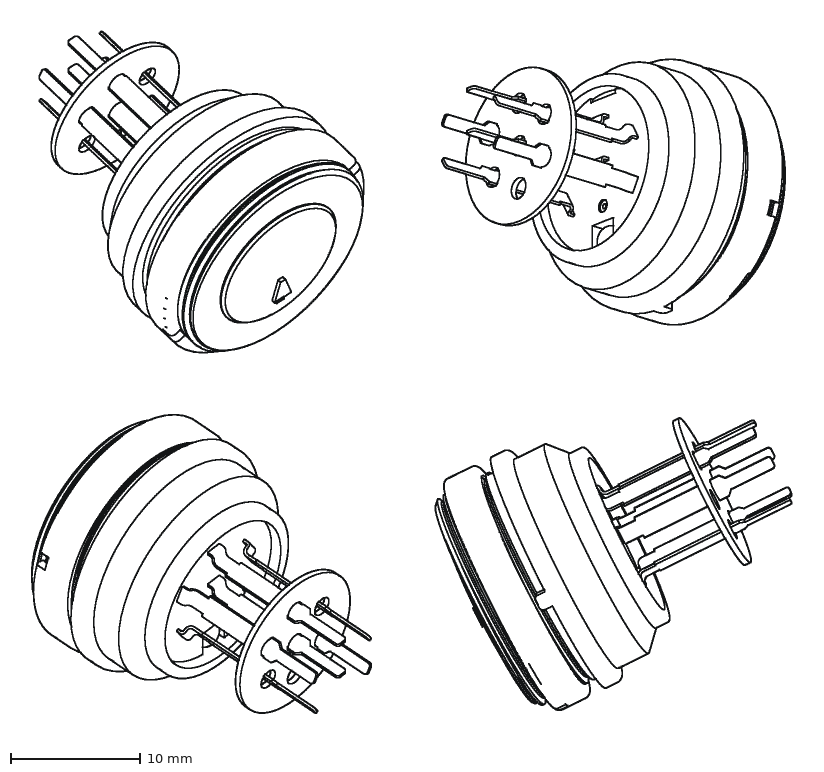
import cadquery as cq


spacer_start = 5.02
collar_start = 12.67
collar_end = 13.88
cone_end = 15.25
flange_start = 17.9
flange_end = 19.43
nut_start = 20.7
nut_end = 23.65
thread_end = 24.95
insert_end = 25.3
overall_length = 25.6

collar_diameter = 15.1
collar_rim_fillet = 0.18
body_diameter = 18.1
thread_diameter = 18.0
flange_diameter = 20.0
flange_fillet = 0.5
cavity_diameter = 13.1
cavity_depth = 1.0
cavity_floor = collar_start + cavity_depth

thread_pitch = 0.75
thread_depth = 0.4
thread_start = 19.87
thread_runout = 0.77
groove_mouth_width = 0.61
groove_root_width = 0.15
groove_overcut = 0.05
thread_end_chamfer = 0.45

block_length = 0.97
block_width = 1.28
block_chamfer = 0.2

insert_diameter = 11.57
insert_chamfer = 0.23
key_bottom = -3.75
key_top = -1.65
key_bottom_width = 1.7
key_top_width = 0.49
slot_width = 2.45
slot_top = -4.17
slot_depth = 5.12
window_width = 0.77
window_height = 0.3
locating_post_diameter = 2.3
locating_post_z = -5.53
locating_post_fillet = 0.77
blind_hole_z = -2.87
blind_hole_diameter = 1.0
blind_hole_depth = 0.15
pilot_hole_diameter = 0.38
pilot_hole_depth = 0.5
rim_notch_width = 2.92
rim_notch_height = 0.5
rim_notch_depth = 0.25

spacer_diameter = 12.5
spacer_thickness = 0.49
pin_hole_diameter = 1.6
empty_hole_diameter = 1.7

pin_circle_radius = 3.5
pin_angles = [30, 90, 150, 210, 330]
empty_angle = 270
pin_thickness = 0.23
tip_width = 1.0
tip_fillet = 0.25
blade_width = 1.8
shoulder_start = 3.87
shoulder_end = 4.22
blade_end = 11.57
neck_width = 1.33
bend_start = 12.62
first_bend_radius = 0.45
second_bend_radius = 0.2
foot_offset = 0.82

nut_fillet = 0.45
nut_notch_angle = 20.2
nut_notch_width = 1.15
nut_notch_length = 1.08


def cylinder(diameter, start, end, z=0.0):
    """Solid cylinder along X between two stations."""
    return cq.Workplane("YZ", origin=(start, 0, z)).circle(diameter / 2).extrude(end - start)


def box(x_range, y_range, z_range):
    """Box given by its limits along each axis."""
    size = [high - low for low, high in (x_range, y_range, z_range)]
    corner = (x_range[0], y_range[0], z_range[0])
    return cq.Workplane("XY").box(*size, centered=False).translate(corner)


def turned_about_axis(shape, angle):
    """Rotate a shape about the connector axis."""
    return shape.rotate((0, 0, 0), (1, 0, 0), angle)


def at_pin_position(shape, angle):
    """Move a shape from the axis to the pin circle; its +Z side then points outward."""
    return turned_about_axis(shape.translate((0, 0, pin_circle_radius)), angle - 90)


def make_thread_groove():
    """Helical V groove, right-handed, running off the +X end of the shell."""
    crest_radius = thread_diameter / 2
    height = thread_end + thread_runout - thread_start
    helix = cq.Wire.makeHelix(thread_pitch, height, crest_radius)
    outer_half = groove_mouth_width / 2
    root_half = groove_root_width / 2
    groove = (
        cq.Workplane("XZ")
        .polyline([
            (crest_radius + groove_overcut, -outer_half),
            (crest_radius + groove_overcut, outer_half),
            (crest_radius - thread_depth, root_half),
            (crest_radius - thread_depth, -root_half),
        ])
        .close()
        .sweep(cq.Workplane(helix), isFrenet=True)
    )
    groove = groove.rotate((0, 0, 0), (0, 1, 0), 90)
    return turned_about_axis(groove, 90).translate((thread_start, 0, 0))


def make_shell():
    """Stepped shell with its cone, flange, thread and rear cavity."""
    collar = cylinder(collar_diameter, collar_start, collar_end).faces("<X").edges().fillet(collar_rim_fillet)
    body = (
        cq.Workplane("XY")
        .moveTo(collar_end, 0)
        .lineTo(collar_end, collar_diameter / 2)
        .lineTo(cone_end, body_diameter / 2)
        .lineTo(flange_end, body_diameter / 2)
        .lineTo(flange_end, thread_diameter / 2)
        .lineTo(thread_end - thread_end_chamfer, thread_diameter / 2)
        .lineTo(thread_end, thread_diameter / 2 - thread_end_chamfer)
        .lineTo(thread_end, 0)
        .close()
        .revolve(360, (0, 0, 0), (1, 0, 0))
        .cut(make_thread_groove())
    )
    flange = cylinder(flange_diameter, flange_start, flange_end).faces("<X").edges().fillet(flange_fillet)
    cavity = cylinder(cavity_diameter, collar_start, cavity_floor)
    return collar.union(body).union(flange).union(make_locating_block()).cut(cavity)


def make_locating_block():
    """Block on the flange underside, trimmed to the flange circle and the thread circle."""
    block_end = flange_end + block_length
    half_width = block_width / 2
    block = box((flange_end, block_end), (-half_width, half_width), (-flange_diameter / 2, 0))
    block = block.faces(">X").edges("|Z").chamfer(block_chamfer)
    ring = cylinder(flange_diameter, flange_end, block_end).cut(
        cylinder(thread_diameter, flange_end, block_end)
    )
    return block.intersect(ring)


def make_insert_front():
    """Raised contact face with its polarising key."""
    face = cylinder(insert_diameter, thread_end, insert_end).faces(">X").edges().chamfer(insert_chamfer)
    key = (
        cq.Workplane("YZ", origin=(insert_end, 0, 0))
        .polyline([
            (-key_bottom_width / 2, key_bottom),
            (key_bottom_width / 2, key_bottom),
            (key_top_width / 2, key_top),
            (-key_top_width / 2, key_top),
        ])
        .close()
        .extrude(overall_length - insert_end)
    )
    return face.union(key)


def add_insert_back(connector):
    """Add the windowed slot, locating post, blind hole and rim notch to the cavity floor."""
    cavity_radius = cavity_diameter / 2
    slot_end = cavity_floor + slot_depth
    slot = box(
        (cavity_floor, slot_end), (-slot_width / 2, slot_width / 2), (-cavity_radius, slot_top)
    ).intersect(cylinder(cavity_diameter, cavity_floor, slot_end))
    window = box(
        (slot_end, insert_end), (-window_width / 2, window_width / 2), (slot_top - window_height, slot_top)
    )
    post = cylinder(locating_post_diameter, cavity_floor, slot_end, z=locating_post_z)
    post = post.faces("<X").edges().fillet(locating_post_fillet)
    hole_bottom = cavity_floor + blind_hole_depth
    blind_hole = cylinder(blind_hole_diameter, cavity_floor, hole_bottom, z=blind_hole_z)
    pilot_hole = cylinder(pilot_hole_diameter, hole_bottom, hole_bottom + pilot_hole_depth, z=blind_hole_z)
    notch_bottom = cavity_floor + rim_notch_depth
    rim_notch = box(
        (cavity_floor, notch_bottom),
        (-rim_notch_width / 2, rim_notch_width / 2),
        (cavity_radius - rim_notch_height, cavity_radius),
    ).intersect(cylinder(cavity_diameter, cavity_floor, notch_bottom))
    return connector.cut(slot).cut(window).union(post).cut(blind_hole).cut(pilot_hole).cut(rim_notch)


def make_spacer():
    """Thin disc with a hole for each pin and one empty hole."""
    spacer_end = spacer_start + spacer_thickness
    hole = cylinder(pin_hole_diameter, spacer_start, spacer_end)
    empty_hole = cylinder(empty_hole_diameter, spacer_start, spacer_end)
    spacer = cylinder(spacer_diameter, spacer_start, spacer_end).cut(hole)
    for angle in pin_angles:
        spacer = spacer.cut(at_pin_position(hole, angle))
    return spacer.cut(at_pin_position(empty_hole, empty_angle))


def make_pin():
    """Flat solder pin on the axis, with its bent foot."""
    half_outline = [
        (0, tip_width / 2),
        (shoulder_start, tip_width / 2),
        (shoulder_end, blade_width / 2),
        (blade_end, blade_width / 2),
    ]
    mirrored_outline = [(x, -y) for x, y in reversed(half_outline)]
    blade = (
        cq.Workplane("XY", origin=(0, 0, -pin_thickness / 2))
        .polyline(half_outline + mirrored_outline)
        .close()
        .extrude(pin_thickness)
        .faces("<X").edges("|Z").fillet(tip_fillet)
    )
    return blade.union(make_pin_foot())


def make_pin_foot():
    """Narrow strip that steps outward (+Z) in an S-bend and ends on the cavity floor."""
    web_x = bend_start + first_bend_radius
    path = (
        cq.Workplane("XZ")
        .moveTo(blade_end, 0)
        .lineTo(bend_start, 0)
        .tangentArcPoint((web_x, first_bend_radius), relative=False)
        .lineTo(web_x, foot_offset - second_bend_radius)
        .tangentArcPoint((web_x + second_bend_radius, foot_offset), relative=False)
        .lineTo(cavity_floor, foot_offset)
    )
    section = cq.Workplane("YZ", origin=(blade_end, 0, 0)).rect(neck_width, pin_thickness)
    return section.sweep(path)


def make_connector():
    """Shell, insert, solder pins and the spacer disc that the pins hold."""
    connector = add_insert_back(make_shell().union(make_insert_front()))
    pin = make_pin()
    connector = connector.union(make_spacer()).union(pin)
    for angle in pin_angles:
        connector = connector.union(at_pin_position(pin, angle))
    return connector


def make_nut():
    """Ring nut seated on the thread crests, with two opposite spanner notches."""
    nut = cylinder(flange_diameter, nut_start, nut_end).edges().fillet(nut_fillet)
    nut = nut.cut(cylinder(thread_diameter, nut_start, nut_end))
    notches = box(
        (nut_end - nut_notch_length, nut_end),
        (-flange_diameter / 2, flange_diameter / 2),
        (-nut_notch_width / 2, nut_notch_width / 2),
    )
    return nut.cut(turned_about_axis(notches, nut_notch_angle))


connector = make_connector()
nut = make_nut()
result = cq.Compound.makeCompound([connector.solids().val(), nut.solids().val()])